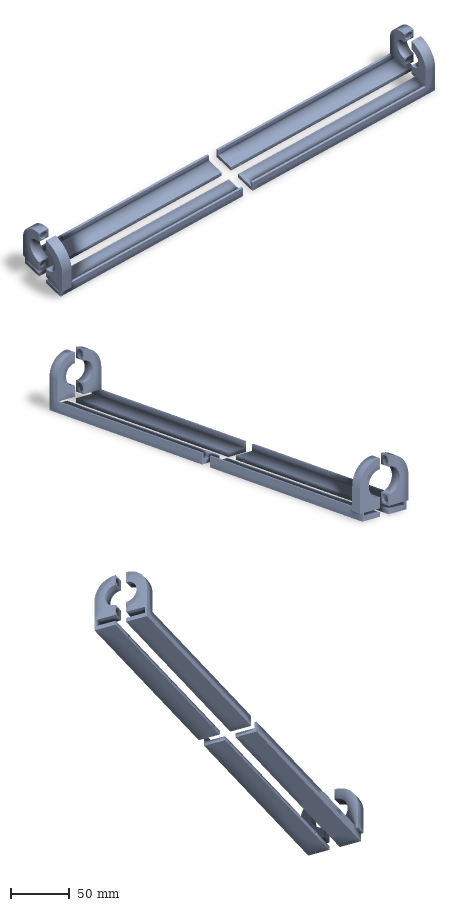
import cadquery as cq

LENGTH = 400.0
GAP = 10.0
INNER_X = GAP / 2
INNER_Y = GAP / 2
END_Y = LENGTH / 2

RAIL_WIDTH = 20.0
RAIL_HEIGHT = 10.0
FLOOR_THICKNESS = 4.0
WALL_THICKNESS = 2.0

CLAMP_THICKNESS = 10.0
RING_WALL = 10.0
RADIUS_STEP = 2.5
REAR_RING_RADIUS = RAIL_WIDTH
RING_CENTER_Z = RAIL_HEIGHT + REAR_RING_RADIUS
FRONT_RING_RADIUS = REAR_RING_RADIUS + RADIUS_STEP

CLAMP_SOCKET_DIAMETER = 8.0
UPPER_SOCKET_DEPTH = 6.5
LOWER_SOCKET_DEPTH = 3.0
RAIL_SOCKET_DIAMETER = 3.0
RAIL_SOCKET_DEPTH = 3.0
RAIL_SOCKET_COUNT = 3
RAIL_SOCKET_SPACING = 80.0
RAIL_SOCKET_INSET = 10.0
FIRST_RAIL_SOCKET_Y = INNER_Y + RAIL_SOCKET_INSET


def make_socket(diameter, depth, y, z):
    """Cylinder running outward in X from the split face."""
    return (
        cq.Workplane("YZ", origin=(INNER_X, y, z))
        .circle(diameter / 2)
        .extrude(depth)
    )


def make_rail():
    """Floor and outer wall of the rail on the +X, +Y side."""
    outer_x = INNER_X + RAIL_WIDTH
    wall_x = outer_x - WALL_THICKNESS
    rail = (
        cq.Workplane("XZ", origin=(0, INNER_Y, 0))
        .moveTo(INNER_X, 0)
        .lineTo(outer_x, 0)
        .lineTo(outer_x, RAIL_HEIGHT)
        .lineTo(wall_x, RAIL_HEIGHT)
        .lineTo(wall_x, FLOOR_THICKNESS)
        .lineTo(INNER_X, FLOOR_THICKNESS)
        .close()
        .extrude(INNER_Y - END_Y)
    )
    for index in range(RAIL_SOCKET_COUNT):
        y = FIRST_RAIL_SOCKET_Y + index * RAIL_SOCKET_SPACING
        rail = rail.cut(make_socket(RAIL_SOCKET_DIAMETER, RAIL_SOCKET_DEPTH, y, FLOOR_THICKNESS / 2))
    return rail


def make_clamp(ring_radius):
    """Half-ring at the far end, on a straight-sided foot."""
    bore_radius = ring_radius - RING_WALL
    outer_x = INNER_X + ring_radius
    bottom_z = RING_CENTER_Z - ring_radius
    clamp = (
        cq.Workplane("XZ", origin=(0, END_Y, 0))
        .moveTo(INNER_X, bottom_z)
        .lineTo(outer_x, bottom_z)
        .lineTo(outer_x, RING_CENTER_Z)
        .radiusArc((INNER_X, RING_CENTER_Z + ring_radius), -ring_radius)
        .lineTo(INNER_X, RING_CENTER_Z + bore_radius)
        .radiusArc((INNER_X + bore_radius, RING_CENTER_Z), bore_radius)
        .radiusArc((INNER_X, RING_CENTER_Z - bore_radius), bore_radius)
        .close()
        .extrude(CLAMP_THICKNESS)
    )
    socket_y = END_Y - CLAMP_THICKNESS / 2
    upper_z = RING_CENTER_Z + ring_radius - RING_WALL / 2
    lower_z = bottom_z + RING_WALL / 2
    clamp = clamp.cut(make_socket(CLAMP_SOCKET_DIAMETER, UPPER_SOCKET_DEPTH, socket_y, upper_z))
    return clamp.cut(make_socket(CLAMP_SOCKET_DIAMETER, LOWER_SOCKET_DEPTH, socket_y, lower_z))


def make_quarter(ring_radius):
    """Rail and end clamp as one solid, on the +X, +Y side."""
    return make_rail().union(make_clamp(ring_radius))


def make_pair(right_half):
    """The right half and its mirror image across the YZ plane."""
    return [right_half.val(), right_half.mirror("YZ").val()]


rear_holders = make_pair(make_quarter(REAR_RING_RADIUS))
front_holders = make_pair(make_quarter(FRONT_RING_RADIUS).mirror("XZ"))

result = cq.Compound.makeCompound([*rear_holders, *front_holders])